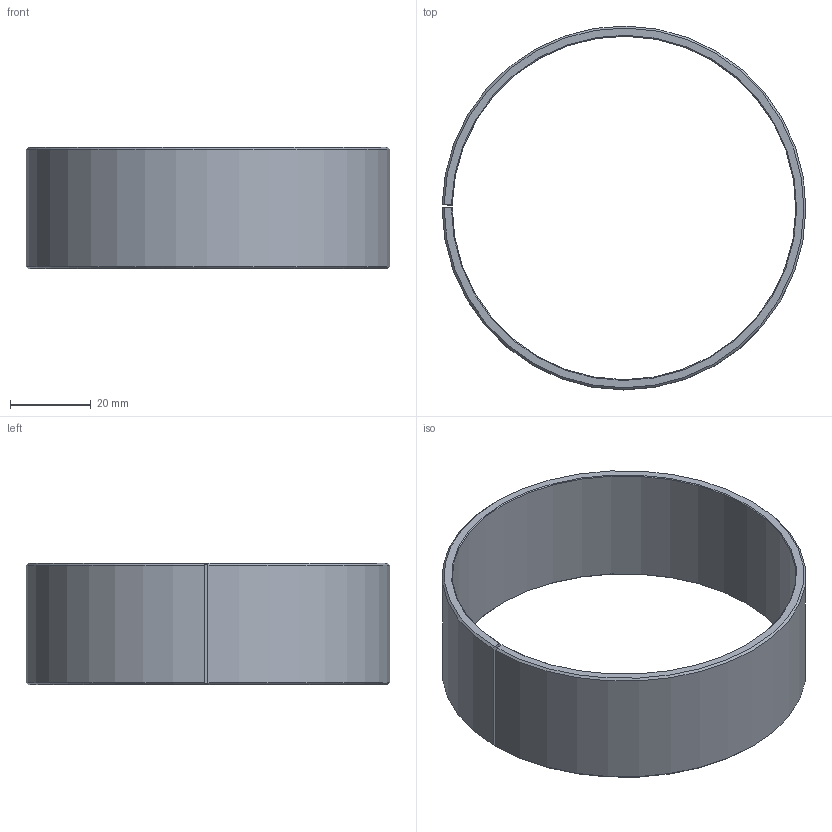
import cadquery as cq

outer_diameter = 90.0
wall_thickness = 2.5
height = 30.0
outer_chamfer = 0.5
inner_chamfer = 0.2
slit_angle = 1.0

outer_radius = outer_diameter / 2
inner_radius = outer_radius - wall_thickness
half_height = height / 2


def wall_section():
    """Radial section of the wall, with all four corners chamfered."""
    return (
        cq.Workplane("XZ")
        .moveTo(inner_radius, -half_height + inner_chamfer)
        .lineTo(inner_radius + inner_chamfer, -half_height)
        .lineTo(outer_radius - outer_chamfer, -half_height)
        .lineTo(outer_radius, -half_height + outer_chamfer)
        .lineTo(outer_radius, half_height - outer_chamfer)
        .lineTo(outer_radius - outer_chamfer, half_height)
        .lineTo(inner_radius + inner_chamfer, half_height)
        .lineTo(inner_radius, half_height - inner_chamfer)
        .close()
    )


def split_ring():
    """Sweep the section around Z, stopping short of a full turn to leave the slit.

    The slit has radial sides: one lies on the XZ plane, the other on the +Y side of it.
    """
    axis_start = (0, 0, 0)
    axis_end = (0, 1, 0)
    ring = wall_section().revolve(360 - slit_angle, axis_start, axis_end)
    return ring.rotate((0, 0, 0), (0, 0, 1), 180)


result = split_ring()